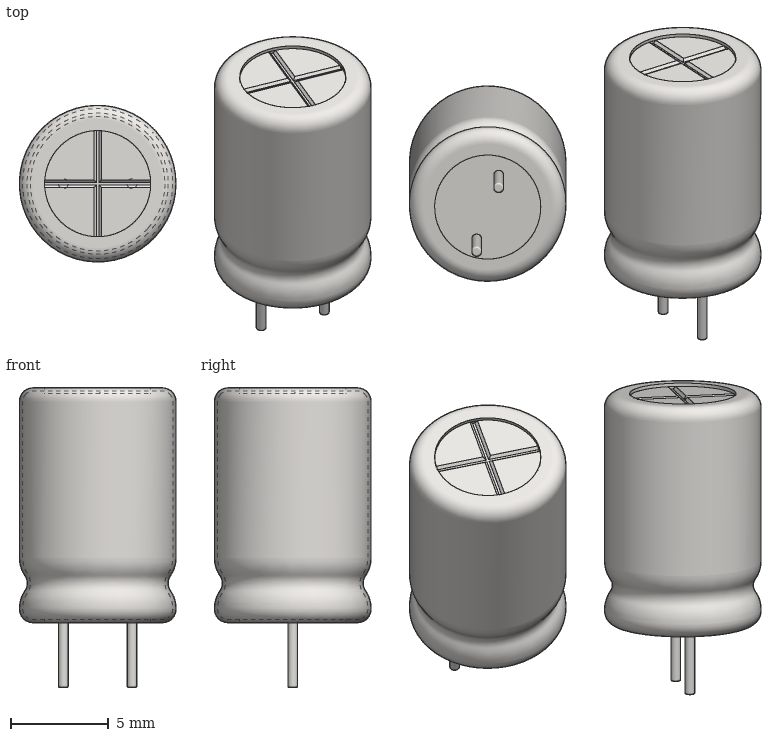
import cadquery as cq
import math


total_height = 15.3
lead_length = 3.3
body_height = total_height - lead_length
body_radius = 8.0 / 2

sleeve_thickness = 0.17
opening_radius = 2.71
rim_radius = 0.7

groove_height = 2.02
groove_depth = 0.4
shoulder_radius = 1.5
throat_radius = 0.7

vent_top_width = 0.4
vent_floor_width = 0.12
vent_depth = 0.14

lead_radius = 0.5 / 2
lead_pitch = 3.5
lead_tip_radius = 0.09


def body_of_revolution(inset):
    """Grooved round body whose whole surface lies `inset` inside the outside of the sleeve."""
    radius = body_radius - inset
    bottom = inset
    top = body_height - inset
    rim = rim_radius - inset
    shoulder = shoulder_radius - inset
    throat = throat_radius + inset
    throat_x = radius - groove_depth

    arc_angle = math.acos(1 - groove_depth / (shoulder + throat))
    tangent_x = radius - shoulder * (1 - math.cos(arc_angle))
    tangent_rise = throat * math.sin(arc_angle)
    groove_half_height = (shoulder + throat) * math.sin(arc_angle)
    shoulder_mid_x = radius - shoulder * (1 - math.cos(arc_angle / 2))
    shoulder_mid_rise = groove_half_height - shoulder * math.sin(arc_angle / 2)
    rim_mid_offset = rim * (1 - math.sqrt(0.5))

    profile = (
        cq.Workplane("XZ")
        .moveTo(0, bottom)
        .lineTo(radius - rim, bottom)
        .threePointArc((radius - rim_mid_offset, bottom + rim_mid_offset), (radius, bottom + rim))
        .lineTo(radius, groove_height - groove_half_height)
        .threePointArc(
            (shoulder_mid_x, groove_height - shoulder_mid_rise),
            (tangent_x, groove_height - tangent_rise),
        )
        .threePointArc((throat_x, groove_height), (tangent_x, groove_height + tangent_rise))
        .threePointArc(
            (shoulder_mid_x, groove_height + shoulder_mid_rise),
            (radius, groove_height + groove_half_height),
        )
        .lineTo(radius, top - rim)
        .threePointArc((radius - rim_mid_offset, top - rim_mid_offset), (radius - rim, top))
        .lineTo(0, top)
        .close()
    )
    return profile.revolve(360, (0, 0), (0, 1))


def make_sleeve():
    """Thin sleeve that wraps over both ends of the can and leaves a round opening in each."""
    openings = cq.Workplane("XY").circle(opening_radius).extrude(body_height)
    return body_of_revolution(0).cut(body_of_revolution(sleeve_thickness)).cut(openings)


def vent_cross():
    """Two crossing grooves with sloping sides, limited to the sleeve opening."""
    can_top = body_height - sleeve_thickness
    half_top = vent_top_width / 2
    half_floor = vent_floor_width / 2
    groove = (
        cq.Workplane("XZ")
        .polyline([
            (-half_top, can_top),
            (-half_floor, can_top - vent_depth),
            (half_floor, can_top - vent_depth),
            (half_top, can_top),
        ])
        .close()
        .extrude(body_radius, both=True)
    )
    cross = groove.union(groove.rotate((0, 0, 0), (0, 0, 1), 90))
    return cross.intersect(cq.Workplane("XY").circle(opening_radius).extrude(body_height))


def make_lead(x):
    """Round lead with a rounded tip, reaching down from the seating plane."""
    lead = cq.Workplane("XY").center(x, 0).circle(lead_radius).extrude(-lead_length)
    return lead.faces("<Z").edges().fillet(lead_tip_radius)


def make_can():
    """Can that fills the sleeve, with an end plug flush with the seating plane and two leads."""
    end_plug = cq.Workplane("XY").circle(opening_radius).extrude(2 * sleeve_thickness)
    can = body_of_revolution(sleeve_thickness).union(end_plug).cut(vent_cross())
    for x in (-lead_pitch / 2, lead_pitch / 2):
        can = can.union(make_lead(x))
    return can


sleeve = make_sleeve()
can = make_can()

result = cq.Compound.makeCompound([sleeve.val(), can.val()])